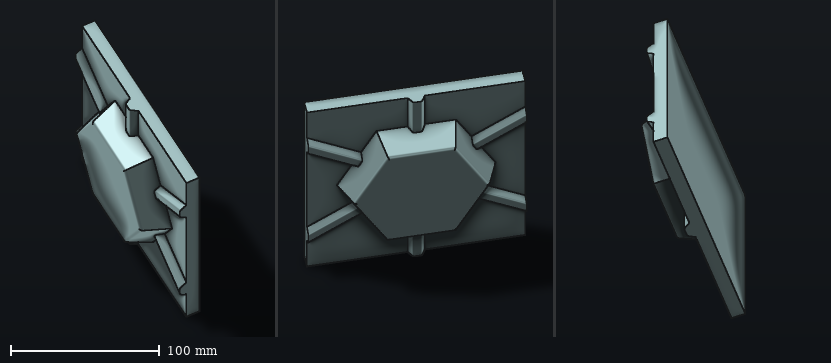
import cadquery as cq
import math

plate_side = 150.0
total_depth = 30.0
plate_thickness = 10.0
rib_height = 5.0
rib_base_width = 12.0
rib_top_width = 6.0
rib_round = 2.0
rib_count = 6
boss_top_flats = 80.0
boss_draft = 20.0
boss_round = 3.0

boss_height = total_depth - plate_thickness
boss_base_flats = boss_top_flats + 2 * boss_height * math.tan(math.radians(boss_draft))
boss_base_corners = boss_base_flats / math.cos(math.pi / 6)
rib_length = plate_side


def make_plate():
    """Square plate, standing in XZ with its rear face on Y = 0."""
    return cq.Workplane("XZ").rect(plate_side, plate_side).extrude(plate_thickness)


def make_boss():
    """Drafted hexagon with corners on the X axis and a rounded front rim."""
    boss = (
        cq.Workplane("XZ", origin=(0, -plate_thickness, 0))
        .polygon(6, boss_base_corners)
        .extrude(boss_height, taper=boss_draft)
    )
    return boss.faces("<Y").edges().fillet(boss_round)


def make_rib():
    """Trapezoidal rib from the centre along +Z, with rounded crest edges."""
    crest = -plate_thickness - rib_height
    profile = [
        (-rib_base_width / 2, -plate_thickness),
        (-rib_top_width / 2, crest),
        (rib_top_width / 2, crest),
        (rib_base_width / 2, -plate_thickness),
    ]
    rib = cq.Workplane("XY").polyline(profile).close().extrude(rib_length)
    return rib.faces("<Y").edges("|Z").fillet(rib_round)


envelope = cq.Workplane("XZ").rect(plate_side, plate_side).extrude(total_depth)
rib = make_rib()
result = make_plate().union(make_boss())
for index in range(rib_count):
    angle = index * 360 / rib_count
    turned_rib = rib.rotate((0, 0, 0), (0, 1, 0), angle)
    result = result.union(turned_rib.intersect(envelope))